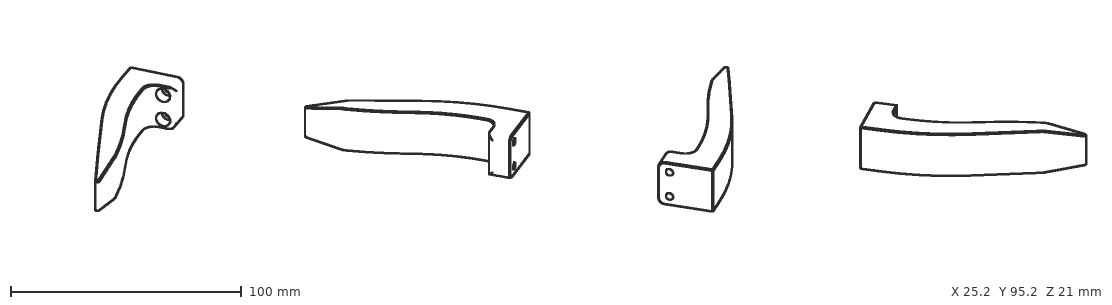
import cadquery as cq
import math

width = 25.2
length = 95.2
height = 21.0

head_thickness = 10.7
head_corner_radius = 3.0
throat_radius = 5.0
head_underside = length - head_thickness

neck_thickness = 12.8
back_straight_end = 85.6
back_angle = math.radians(19.7)
inner_bend_start = 78.1
inner_bend_radius = 93.3
inner_bend_angle = math.radians(19.6)
tip_flat_end = 19.0
tip_radius = 1.0

taper_length = 17.5
tip_height = 14.85

screw_x = 19.9
screw_spacing = 12.0
screw_diameter = 3.2
screw_head_diameter = 6.5
screw_head_depth = 6.0

edge_chamfer = 0.5


def hook_profile():
    """Closed XY outline of the hook, starting at the back of the head."""
    sin_back = math.sin(back_angle)
    cos_back = math.cos(back_angle)
    tip_x = width - tip_radius
    tip_y = tip_radius

    line_offset = tip_x * cos_back + tip_y * sin_back - tip_radius
    back_radius = (back_straight_end * sin_back - line_offset) / (1 - cos_back)
    back_arc_end = (back_radius * (1 - cos_back), back_straight_end - back_radius * sin_back)
    tip_start = (tip_x - tip_radius * cos_back, tip_y - tip_radius * sin_back)

    inner_bend_end = (
        neck_thickness + inner_bend_radius * (1 - math.cos(inner_bend_angle)),
        inner_bend_start - inner_bend_radius * math.sin(inner_bend_angle),
    )
    bulge_chord_angle = math.atan2(width - inner_bend_end[0], inner_bend_end[1] - tip_flat_end)
    bulge_chord = math.hypot(width - inner_bend_end[0], inner_bend_end[1] - tip_flat_end)
    bulge_radius = bulge_chord / 2 / math.sin(inner_bend_angle - bulge_chord_angle)
    return (
        cq.Workplane("XY")
        .moveTo(0, length)
        .lineTo(0, back_straight_end)
        .tangentArcPoint(back_arc_end, relative=False)
        .lineTo(*tip_start)
        .tangentArcPoint((width, tip_y), relative=False)
        .lineTo(width, tip_flat_end)
        .radiusArc(inner_bend_end, -bulge_radius)
        .radiusArc((neck_thickness, inner_bend_start), inner_bend_radius)
        .lineTo(neck_thickness, head_underside - throat_radius)
        .radiusArc((neck_thickness + throat_radius, head_underside), throat_radius)
        .lineTo(width - head_corner_radius, head_underside)
        .radiusArc((width, head_underside + head_corner_radius), -head_corner_radius)
        .lineTo(width, length)
        .close()
    )


def height_envelope():
    """Side silhouette swept across X: full height, narrowing towards the tip."""
    return (
        cq.Workplane("YZ")
        .polyline([
            (length, height / 2),
            (taper_length, height / 2),
            (0, tip_height / 2),
            (0, -tip_height / 2),
            (taper_length, -height / 2),
            (length, -height / 2),
        ])
        .close()
        .extrude(width)
    )


def head_end_envelope():
    """Block covering the part, with the head's far edges rounded along Y."""
    arm = cq.Workplane("XY").box(width, head_underside, height, centered=(False, False, True))
    head = (
        cq.Workplane("XY")
        .box(width, head_thickness, height, centered=(False, False, True))
        .edges("|Y and >X")
        .fillet(head_corner_radius)
        .translate((0, head_underside, 0))
    )
    return arm.union(head)


def screw_holes():
    """Two counterbored holes along Y, with the screw heads recessed from the throat side."""
    centers = [(screw_x, -screw_spacing / 2), (screw_x, screw_spacing / 2)]
    plane = cq.Workplane("XZ", origin=(0, head_underside, 0)).pushPoints(centers)
    shanks = plane.circle(screw_diameter / 2).extrude(-head_thickness)
    heads = plane.circle(screw_head_diameter / 2).extrude(-screw_head_depth)
    throat_clearance = plane.circle(screw_head_diameter / 2).extrude(throat_radius)
    return shanks.union(heads).union(throat_clearance)


body = hook_profile().extrude(height / 2, both=True).intersect(height_envelope())

body = body.edges("not (|X or |Z)").chamfer(edge_chamfer)
body = body.intersect(head_end_envelope())
body = body.faces(">Y").edges().chamfer(edge_chamfer)
result = body.cut(screw_holes())